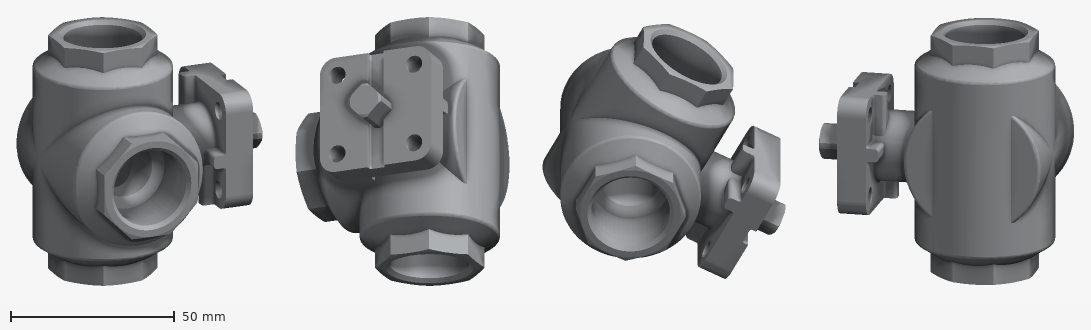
import cadquery as cq
import math


BODY_R = 21.5
PORT_REACH = 38.0
SHOULDER_Z = 28.0
CONE_END_Z = 32.0
BARREL_ROUND = 1.2
BLIND_END_X = 17.6
BLIND_ROUND = 1.0

OCT_FLAT_R = 15.5
OCT_FACE_R = 15.35
OCT_CHAMFER_ANGLE = 15
OCT_SIDES = 8
HALF_OCT_ANGLE = 180 / OCT_SIDES
OCT_CORNER_R = OCT_FLAT_R / math.cos(math.radians(HALF_OCT_ANGLE))

THREAD_R = 24.1 / 2
MOUTH_R = 26.45 / 2
MOUTH_DEPTH = 1.2
THREAD_DEPTH = 18.25
FLOW_R = 17.6 / 2
SEAT_CONE_LENGTH = 2.0

NECK_R = 22.0 / 2
NECK_ROUND = 1.0
FLANGE_SIDE = 37.0
FLANGE_BACK = 33.0
FLANGE_FRONT = 42.0
FLANGE_CORNER_R = 5.2
BOLT_CIRCLE_R = 36.0 / 2
BOLT_HOLE_D = 5.5
KEYWAY_WIDTH = 5.25
KEYWAY_DEPTH = 2.0
KEYWAY_ROUND = 0.6
STEM_END = 51.0
STEM_D = 11.0
STEM_SQUARE = 9.0
STEM_TIP_D = 9.4
STEM_TIP_LENGTH = 0.4

RIB_TIP = 29.0
RIB_WIDTH = 4.1
RIB_TIP_ROUND = 1.2
RIB_ROOT_ROUND = 0.75
VERTICAL_RIB_X = -7.45
SIDE_RIB_Z = 1.8


def to_branch(shape):
    """Turn a shape built along +Z so that it lies along +X."""
    return shape.rotate((0, 0, 0), (0, 1, 0), 90)


def mirror_down(shape):
    return shape.mirror("XY")


def barrel(bottom):
    """Barrel along Z from the given bottom up to the shoulder, with the cone above it.

    The cone carries on inside the octagon, so the two always overlap.
    """
    slope = (CONE_END_Z - SHOULDER_Z) / (BODY_R - OCT_FLAT_R)
    inner_r = THREAD_R
    cone_top = SHOULDER_Z + slope * (BODY_R - inner_r)
    profile = [(0, bottom), (BODY_R, bottom), (BODY_R, SHOULDER_Z), (inner_r, cone_top), (0, cone_top)]
    solid = cq.Workplane("XZ").polyline(profile).close().revolve(360, (0, 0, 0), (0, 1, 0))
    shoulder = cq.selectors.NearestToPointSelector((0, 0, SHOULDER_Z))
    return solid.edges("%CIRCLE").edges(shoulder).fillet(BARREL_ROUND)


def octagon_end():
    """Octagonal wrench end along +Z with its corners chamfered at the end face."""
    octagon = (
        cq.Workplane("XY")
        .polygon(OCT_SIDES, 2 * OCT_CORNER_R)
        .extrude(PORT_REACH)
        .rotate((0, 0, 0), (0, 0, 1), HALF_OCT_ANGLE)
    )
    drop = (OCT_CORNER_R - OCT_FACE_R) * math.tan(math.radians(OCT_CHAMFER_ANGLE))
    profile = [
        (0, 0),
        (OCT_CORNER_R, 0),
        (OCT_CORNER_R, PORT_REACH - drop),
        (OCT_FACE_R, PORT_REACH),
        (0, PORT_REACH),
    ]
    turned = cq.Workplane("XZ").polyline(profile).close().revolve(360, (0, 0, 0), (0, 1, 0))
    return octagon.intersect(turned)


def port_bore():
    """Bore along +Z: chamfered mouth, thread bore, seat cone and flow passage."""
    thread_end = PORT_REACH - THREAD_DEPTH
    profile = [
        (0, 0),
        (FLOW_R, 0),
        (FLOW_R, thread_end - SEAT_CONE_LENGTH),
        (THREAD_R, thread_end),
        (THREAD_R, PORT_REACH - MOUTH_DEPTH),
        (MOUTH_R, PORT_REACH),
        (0, PORT_REACH),
    ]
    return cq.Workplane("XZ").polyline(profile).close().revolve(360, (0, 0, 0), (0, 1, 0))


def along_y(start, end):
    """Sketch plane facing +Y at `start`, and the length to `end`."""
    plane = cq.Workplane(cq.Plane((0, start, 0), xDir=(1, 0, 0), normal=(0, 1, 0)))
    return plane, end - start


def flange():
    plane, thickness = along_y(FLANGE_BACK, FLANGE_FRONT)
    plate = plane.rect(FLANGE_SIDE, FLANGE_SIDE).extrude(thickness).edges("|Y").fillet(FLANGE_CORNER_R)
    bolt_offset = BOLT_CIRCLE_R / math.sqrt(2)
    holes = plane.rect(2 * bolt_offset, 2 * bolt_offset, forConstruction=True)
    plate = plate.cut(holes.vertices().circle(BOLT_HOLE_D / 2).extrude(thickness))
    keyway = (
        cq.Workplane("XY")
        .box(KEYWAY_WIDTH, 2 * KEYWAY_DEPTH, FLANGE_SIDE)
        .edges("|Z and <Y")
        .fillet(KEYWAY_ROUND)
        .translate((0, FLANGE_FRONT, 0))
    )
    return plate.cut(keyway)


def neck():
    """Round neck from the body axis to the flange, flared where it meets the flange."""
    profile = (
        cq.Workplane("XY")
        .lineTo(NECK_R, 0)
        .lineTo(NECK_R, FLANGE_BACK - NECK_ROUND)
        .radiusArc((NECK_R + NECK_ROUND, FLANGE_BACK), NECK_ROUND)
        .lineTo(0, FLANGE_BACK)
        .close()
    )
    return profile.revolve(360, (0, 0, 0), (0, 1, 0))


def rib(offset):
    """Rib from the neck axis to the +Z edge, centred on X = offset, with rounded tip and roots."""
    half = RIB_WIDTH / 2
    root = half + RIB_ROOT_ROUND
    tip = half - RIB_TIP_ROUND
    profile = (
        cq.Workplane("XY")
        .moveTo(offset - root, FLANGE_BACK)
        .radiusArc((offset - half, FLANGE_BACK - RIB_ROOT_ROUND), RIB_ROOT_ROUND)
        .lineTo(offset - half, RIB_TIP + RIB_TIP_ROUND)
        .radiusArc((offset - tip, RIB_TIP), -RIB_TIP_ROUND)
        .lineTo(offset + tip, RIB_TIP)
        .radiusArc((offset + half, RIB_TIP + RIB_TIP_ROUND), -RIB_TIP_ROUND)
        .lineTo(offset + half, FLANGE_BACK - RIB_ROOT_ROUND)
        .radiusArc((offset + root, FLANGE_BACK), RIB_ROOT_ROUND)
        .close()
    )
    return profile.extrude(FLANGE_SIDE / 2)


def stem():
    """Round stem with a conical tip, milled to a square standing on its corner."""
    profile = [
        (0, FLANGE_BACK),
        (STEM_D / 2, FLANGE_BACK),
        (STEM_D / 2, STEM_END - STEM_TIP_LENGTH),
        (STEM_TIP_D / 2, STEM_END),
        (0, STEM_END),
    ]
    turned = cq.Workplane("XY").polyline(profile).close().revolve(360, (0, 0, 0), (0, 1, 0))
    plane, length = along_y(FLANGE_BACK, STEM_END)
    square = plane.rect(STEM_SQUARE, STEM_SQUARE).extrude(length)
    return turned.intersect(square.rotate((0, 0, 0), (0, 1, 0), 45))


run_half = barrel(0).union(octagon_end())
body = run_half.union(mirror_down(run_half))

branch = to_branch(barrel(-BLIND_END_X).faces("<Z").edges().fillet(BLIND_ROUND))
body = body.union(branch).union(to_branch(octagon_end()))

body = body.union(neck()).union(flange())
side_rib = rib(SIDE_RIB_Z).rotate((0, 0, 0), (0, 1, 0), -90)
for one_rib in (rib(VERTICAL_RIB_X), side_rib):
    body = body.union(one_rib)
    body = body.union(one_rib.rotate((0, 0, 0), (0, 1, 0), 180))
body = body.union(stem())

for bore in (port_bore(), mirror_down(port_bore()), to_branch(port_bore())):
    body = body.cut(bore)

result = body